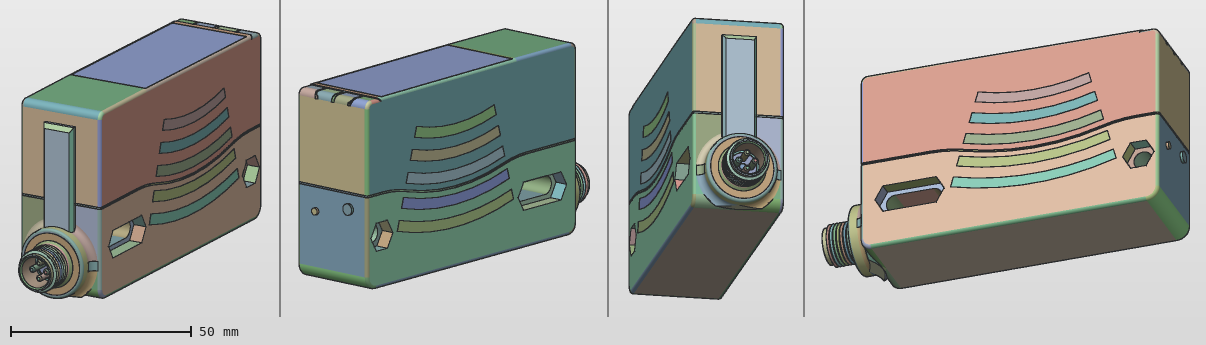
import cadquery as cq
import math

MARGIN = 1.0

WIDTH = 25.8
DEPTH = 87.9
HEIGHT = 54.6
HALF_WIDTH = WIDTH / 2
REAR_HEIGHT = 54.2
WINDOW_HEIGHT = 53.9
SLOPE_START = 25.2
WINDOW_START = 83.0
FRONT_BOTTOM_RADIUS = 3.1
REAR_BOTTOM_RADIUS = 3.8
TOP_RADIUS = 2.1
SIDE_EDGE_RADIUS = 0.9

WINDOW_GAP_OFFSET = 6.8
WINDOW_GAP_WIDTH = 0.4
WINDOW_GAP_BEND = 1.2
WINDOW_CHANNEL_WIDTH = 0.9
WINDOW_CUT_DEPTH = 0.15

PANEL_FRONT = 26.0
PANEL_REAR = 81.0
PANEL_DEPTH = 0.1

OVERALL_DEPTH = 102.7
BUTTON_HEIGHT = 0.7
BUTTONS = [(-6.1, 22.4, 1.6), (6.1, 19.8, 1.0)]

FAN_Y = 50.9
FAN_Z = 100.4
FAN_HALF_ANGLE = 15.9
BAND_INNER_RADII = [59.5, 65.9, 72.4, 79.5, 86.0]
BAND_WIDTH = 3.1
BAND_DEPTH = 0.1
PARTING_Z = 26.9
PARTING_DIP_RADIUS = 77.5
PARTING_BLEND_RADIUS = 38.0
PARTING_WIDTH = 0.5
PARTING_DEPTH = 0.3

MOUNT_Z = 14.8
MOUNT_HOLE_DIAMETER = 5.3
NUT_FLATS = 8.0
NUT_DEPTH = 3.9
REAR_HOLE_Y = 81.9
SLOT_Y = 14.5
SLOT_TRAVEL = 11.1

STRIP_BASE_WIDTH = 9.7
STRIP_TOP_WIDTH = 8.0
STRIP_TOP_Z = 49.5
STRIP_HEIGHT = 2.2
STRIP_BEVEL_START = 1.0
STRIP_BEVEL_DROP = 1.3

COLLAR_RADIUS = 10.1
COLLAR_Z = COLLAR_RADIUS
COLLAR_LENGTH = 4.9
COLLAR_ROOT = 4.1
COLLAR_EDGE_RADIUS = 0.7
COLLAR_RECESS_RADIUS = 8.9
COLLAR_RECESS_DEPTH = 0.1
FLARE_RADIUS = 2.0
FLARE_HALF_WIDTH = HALF_WIDTH - SIDE_EDGE_RADIUS
WEB_HEIGHT = 2.8
THREAD_RADIUS = 6.1
THREAD_DEPTH = 0.6
THREAD_PITCH = 1.0
THREAD_TURNS = 7
NECK_LENGTH = 0.6
NECK_FLARE = 0.7
TIP_RADIUS = 5.2
TIP_LENGTH = 1.2
BUTTON_FACE_Y = DEPTH + BUTTON_HEIGHT
PLUG_END = OVERALL_DEPTH - BUTTON_FACE_Y
BORE_RADIUS = 4.4
BORE_DEPTH = 8.2
BORE_CHAMFER = 0.4
FLOOR_RADIUS = 3.9
FLOOR_STEP = 0.5
CENTRE_HOLE_RADIUS = 0.9
CENTRE_HOLE_DEPTH = 0.5
PIN_RADIUS = 0.87
PIN_CIRCLE_RADIUS = 2.3
PIN_LENGTH = 6.2
PIN_COUNT = 4
PIN_TIP_CHAMFER = 0.4


def side_prism(outline, x_start, length):
    """Extrude a closed (Y, Z) outline along +X from x_start."""
    return outline.extrude(length).translate((x_start, 0, 0))


def side_cut_both(outline, depth):
    """Solids reaching the given depth into both broad sides."""
    left = side_prism(outline, -HALF_WIDTH, depth)
    return left.union(left.mirror("YZ"))


def front_plane(y):
    """Plane facing -Y, centred on the connector axis."""
    return cq.Workplane("XZ", origin=(0, y, COLLAR_Z))


def housing():
    """Rounded block whose roof falls to the rear and steps down to the window."""
    outline = [
        (0, 0),
        (DEPTH, 0),
        (DEPTH, WINDOW_HEIGHT),
        (WINDOW_START, WINDOW_HEIGHT),
        (WINDOW_START, REAR_HEIGHT),
        (SLOPE_START, HEIGHT),
        (0, HEIGHT),
    ]
    body = side_prism(cq.Workplane("YZ").polyline(outline).close(), -HALF_WIDTH, WIDTH)
    body = body.edges("|X and <Y and <Z").fillet(FRONT_BOTTOM_RADIUS)
    body = body.edges("|X and >Y and <Z").fillet(REAR_BOTTOM_RADIUS)
    body = body.edges("|X and <Y and >Z").fillet(TOP_RADIUS)
    rear_top = cq.selectors.NearestToPointSelector((0, DEPTH, WINDOW_HEIGHT))
    body = body.edges(rear_top).fillet(TOP_RADIUS)
    return body.faces("<X or >X").edges().fillet(SIDE_EDGE_RADIUS)


def roof_panel():
    """Shallow inlay sunk parallel to the sloping roof, between the rounded side edges."""
    slope = (REAR_HEIGHT - HEIGHT) / (WINDOW_START - SLOPE_START)
    front_z = HEIGHT + slope * (PANEL_FRONT - SLOPE_START) - PANEL_DEPTH
    rear_z = HEIGHT + slope * (PANEL_REAR - SLOPE_START) - PANEL_DEPTH
    outline = [
        (PANEL_FRONT, front_z),
        (PANEL_REAR, rear_z),
        (PANEL_REAR, HEIGHT + MARGIN),
        (PANEL_FRONT, HEIGHT + MARGIN),
    ]
    half = HALF_WIDTH - SIDE_EDGE_RADIUS
    return side_prism(cq.Workplane("YZ").polyline(outline).close(), -half, 2 * half)


def window_gap():
    """Plan of the gap at the +X end of the window, turning inward at the rear face."""
    centre_x = WINDOW_GAP_OFFSET - WINDOW_GAP_BEND
    centre_y = DEPTH - WINDOW_GAP_BEND
    outer = WINDOW_GAP_BEND + WINDOW_GAP_WIDTH / 2
    inner = WINDOW_GAP_BEND - WINDOW_GAP_WIDTH / 2
    diagonal = math.sqrt(0.5)
    return (
        cq.Workplane("XY")
        .moveTo(centre_x + outer, WINDOW_START)
        .lineTo(centre_x + outer, centre_y)
        .threePointArc(
            (centre_x + outer * diagonal, centre_y + outer * diagonal),
            (centre_x, centre_y + outer),
        )
        .lineTo(centre_x, centre_y + inner)
        .threePointArc(
            (centre_x + inner * diagonal, centre_y + inner * diagonal),
            (centre_x + inner, centre_y),
        )
        .lineTo(centre_x + inner, WINDOW_START)
        .close()
        .extrude(HEIGHT)
    )


def window_cuts():
    """Two gaps and a middle channel that follow the window over the rear top edge."""
    length = DEPTH - WINDOW_START
    channel = cq.Workplane().box(
        WINDOW_CHANNEL_WIDTH,
        length,
        HEIGHT,
        centered=(True, False, False),
    )
    plan = window_gap().union(window_gap().mirror("YZ"))
    plan = plan.union(channel.translate((0, WINDOW_START, 0)))
    plan = plan.translate((0, 0, WINDOW_HEIGHT - TOP_RADIUS))
    core = cq.Workplane().box(
        WIDTH,
        length - WINDOW_CUT_DEPTH,
        WINDOW_HEIGHT - WINDOW_CUT_DEPTH,
        centered=(True, False, False),
    )
    core = core.edges("|X and >Y and >Z").fillet(TOP_RADIUS - WINDOW_CUT_DEPTH)
    return plan.cut(core.translate((0, WINDOW_START, 0)))


def fan_point(radius, angle):
    """(Y, Z) point below the fan centre, angle in degrees from straight down."""
    a = math.radians(angle)
    return (FAN_Y + radius * math.sin(a), FAN_Z - radius * math.cos(a))


def band(inner_radius):
    """Shallow curved band of the fan, on both broad sides."""
    outer_radius = inner_radius + BAND_WIDTH
    outline = (
        cq.Workplane("YZ")
        .moveTo(*fan_point(inner_radius, -FAN_HALF_ANGLE))
        .threePointArc(fan_point(inner_radius, 0), fan_point(inner_radius, FAN_HALF_ANGLE))
        .lineTo(*fan_point(outer_radius, FAN_HALF_ANGLE))
        .threePointArc(fan_point(outer_radius, 0), fan_point(outer_radius, -FAN_HALF_ANGLE))
        .close()
    )
    return side_cut_both(outline, BAND_DEPTH)


def parting_region(offset):
    """Everything under the parting line, with the line shifted up by offset."""
    dip = PARTING_DIP_RADIUS - offset
    blend = PARTING_BLEND_RADIUS + offset
    flat_z = PARTING_Z + offset
    drop = FAN_Z - flat_z + blend
    reach = math.sqrt((dip + blend) ** 2 - drop ** 2)
    blend_angle = math.degrees(math.atan2(reach, drop))
    half = math.radians(blend_angle / 2)
    mid_y = reach - blend * math.sin(half)
    mid_z = flat_z - blend + blend * math.cos(half)
    outline = (
        cq.Workplane("YZ")
        .moveTo(-MARGIN, -MARGIN)
        .lineTo(-MARGIN, flat_z)
        .lineTo(FAN_Y - reach, flat_z)
        .threePointArc((FAN_Y - mid_y, mid_z), fan_point(dip, -blend_angle))
        .threePointArc(fan_point(dip, 0), fan_point(dip, blend_angle))
        .threePointArc((FAN_Y + mid_y, mid_z), (FAN_Y + reach, flat_z))
        .lineTo(DEPTH + MARGIN, flat_z)
        .lineTo(DEPTH + MARGIN, -MARGIN)
        .close()
    )
    return side_prism(outline, -WIDTH, 2 * WIDTH)


def parting_groove():
    """Shallow groove running right around the housing."""
    layer = parting_region(PARTING_WIDTH / 2).cut(parting_region(-PARTING_WIDTH / 2))
    core = cq.Workplane().box(
        WIDTH - 2 * PARTING_DEPTH,
        DEPTH - 2 * PARTING_DEPTH,
        HEIGHT,
        centered=(True, False, False),
    )
    return layer.cut(core.translate((0, PARTING_DEPTH, 0)))


def nut_pocket(y, travel):
    """Hexagon with points along Y, stretched by travel."""
    flat = NUT_FLATS / 2
    corner = NUT_FLATS / math.sqrt(3)
    half_flat = (corner + travel) / 2
    tip = corner + travel / 2
    outline = (
        cq.Workplane("YZ", origin=(0, y, MOUNT_Z))
        .polyline([
            (-tip, 0),
            (-half_flat, flat),
            (half_flat, flat),
            (tip, 0),
            (half_flat, -flat),
            (-half_flat, -flat),
        ])
        .close()
    )
    return side_cut_both(outline, NUT_DEPTH)


def mounting_cuts():
    """Round hole and slot right through, each with a nut pocket on both sides."""
    hole = side_prism(
        cq.Workplane("YZ", origin=(0, REAR_HOLE_Y, MOUNT_Z)).circle(MOUNT_HOLE_DIAMETER / 2),
        -HALF_WIDTH,
        WIDTH,
    )
    slot = side_prism(
        cq.Workplane("YZ", origin=(0, SLOT_Y, MOUNT_Z))
        .slot2D(SLOT_TRAVEL + MOUNT_HOLE_DIAMETER, MOUNT_HOLE_DIAMETER),
        -HALF_WIDTH,
        WIDTH,
    )
    pockets = nut_pocket(REAR_HOLE_Y, 0).union(nut_pocket(SLOT_Y, SLOT_TRAVEL))
    return hole.union(slot).union(pockets)


def strip():
    """Raised strip with beveled sides and top, running down into the collar."""
    length = STRIP_TOP_Z - COLLAR_Z
    base_half = STRIP_BASE_WIDTH / 2
    top_half = STRIP_TOP_WIDTH / 2
    section = [
        (-base_half, 0),
        (-base_half, -STRIP_BEVEL_START),
        (-top_half, -STRIP_HEIGHT),
        (top_half, -STRIP_HEIGHT),
        (base_half, -STRIP_BEVEL_START),
        (base_half, 0),
    ]
    bar = cq.Workplane("XY", origin=(0, 0, COLLAR_Z)).polyline(section).close().extrude(length)
    bevel = [
        (-STRIP_BEVEL_START, STRIP_TOP_Z),
        (-STRIP_HEIGHT, STRIP_TOP_Z),
        (-STRIP_HEIGHT, STRIP_TOP_Z - STRIP_BEVEL_DROP),
    ]
    return bar.cut(side_prism(cq.Workplane("YZ").polyline(bevel).close(), -HALF_WIDTH, WIDTH))


def revolve_on_axis(outline):
    """Turn an outline drawn in (radius, Y) about the connector axis."""
    return outline.close().revolve(360, (0, 0), (0, 1)).translate((0, 0, COLLAR_Z))


def flare_arc(sketch):
    """Concave quarter arc from the collar wall out to the housing face."""
    bow = FLARE_RADIUS * (1 - math.sqrt(0.5))
    middle = (COLLAR_RADIUS + bow, -bow)
    return sketch.threePointArc(middle, (COLLAR_RADIUS + FLARE_RADIUS, 0))


def collar():
    """Round collar with a recessed face and a concave flare onto the housing."""
    disc = front_plane(COLLAR_ROOT).circle(COLLAR_RADIUS)
    disc = disc.extrude(COLLAR_ROOT + COLLAR_LENGTH)
    disc = disc.faces("<Y").edges().fillet(COLLAR_EDGE_RADIUS)

    recess = front_plane(-COLLAR_LENGTH).circle(COLLAR_RECESS_RADIUS).extrude(-COLLAR_RECESS_DEPTH)
    disc = disc.cut(recess)

    section = cq.Workplane("XY").moveTo(0, -FLARE_RADIUS).lineTo(COLLAR_RADIUS, -FLARE_RADIUS)
    section = flare_arc(section)
    section = section.lineTo(COLLAR_RADIUS - FLARE_RADIUS, COLLAR_ROOT)
    flare = revolve_on_axis(section.lineTo(0, COLLAR_ROOT))
    limit = cq.Workplane().box(
        2 * FLARE_HALF_WIDTH,
        2 * COLLAR_ROOT,
        HEIGHT,
        centered=(True, True, False),
    )
    web = flare_arc(cq.Workplane("XY").moveTo(0, -FLARE_RADIUS).lineTo(COLLAR_RADIUS, -FLARE_RADIUS))
    web = web.lineTo(0, 0).close().extrude(WEB_HEIGHT)
    web = web.translate((0, 0, COLLAR_Z - WEB_HEIGHT / 2))
    flare = flare.union(web).union(web.mirror("YZ"))
    return disc.union(flare.intersect(limit))


def plug():
    """Plug with ring-shaped thread grooves, a stepped bore and contact pins."""
    floor_y = -PLUG_END + BORE_DEPTH
    root = THREAD_RADIUS - THREAD_DEPTH
    thread_start = -COLLAR_LENGTH - NECK_LENGTH
    section = (
        cq.Workplane("XY")
        .moveTo(0, 0)
        .lineTo(THREAD_RADIUS + NECK_FLARE, 0)
        .lineTo(THREAD_RADIUS + NECK_FLARE, -COLLAR_LENGTH)
        .lineTo(THREAD_RADIUS, thread_start)
    )
    for turn in range(THREAD_TURNS):
        y = thread_start - turn * THREAD_PITCH
        section = section.lineTo(root, y - THREAD_PITCH / 2)
        section = section.lineTo(THREAD_RADIUS, y - THREAD_PITCH)
    section = (
        section
        .lineTo(TIP_RADIUS, -PLUG_END + TIP_LENGTH)
        .lineTo(TIP_RADIUS, -PLUG_END)
        .lineTo(BORE_RADIUS + BORE_CHAMFER, -PLUG_END)
        .lineTo(BORE_RADIUS, -PLUG_END + BORE_CHAMFER)
        .lineTo(BORE_RADIUS, floor_y - FLOOR_STEP)
        .lineTo(FLOOR_RADIUS, floor_y - FLOOR_STEP)
        .lineTo(FLOOR_RADIUS, floor_y)
        .lineTo(CENTRE_HOLE_RADIUS, floor_y)
        .lineTo(CENTRE_HOLE_RADIUS, floor_y + CENTRE_HOLE_DEPTH)
        .lineTo(0, floor_y + CENTRE_HOLE_DEPTH)
    )
    pins = (
        front_plane(floor_y)
        .polarArray(PIN_CIRCLE_RADIUS, 0, 360, PIN_COUNT)
        .circle(PIN_RADIUS)
        .extrude(PIN_LENGTH)
        .faces("<Y").edges().chamfer(PIN_TIP_CHAMFER)
    )
    return revolve_on_axis(section).union(pins)


def button(x, z, radius):
    """Round button on the rear face, rooted in the housing."""
    return cq.Workplane("XZ", origin=(x, BUTTON_FACE_Y, z)).circle(radius).extrude(2 * BUTTON_HEIGHT)


result = housing().cut(roof_panel()).cut(window_cuts()).cut(parting_groove())
for radius in BAND_INNER_RADII:
    result = result.cut(band(radius))
result = result.cut(mounting_cuts())
result = result.union(collar()).union(strip()).union(plug())
for x, z, radius in BUTTONS:
    result = result.union(button(x, z, radius))